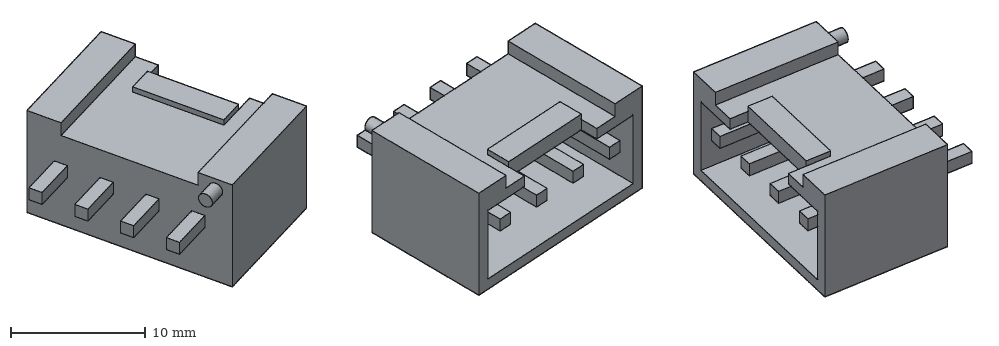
import cadquery as cq

width = 17.72
depth = 10.97
height = 9.7
wall = 1.0
base_thickness = 2.0

recess_width = 11.82
recess_depth = 1.2
deck_height = height - recess_depth

notch_width = 7.87
notch_depth = 1.6
latch_depth = 2.18
latch_height = 0.5

pin_count = 4
pin_pitch = 3.95
pin_size = 1.13
pin_height = 5.28
pin_tail = 3.74
pin_tip_inset = 0.05

peg_radius = 0.6
peg_length = 1.5
peg_x = 7.42
peg_height = 8.68


def block(size_x, size_y, size_z, y_start, z_start, x_center=0):
    """Box centred on x_center, growing toward +Y and +Z from its start values."""
    return (
        cq.Workplane("XY")
        .box(size_x, size_y, size_z, centered=(True, False, False))
        .translate((x_center, y_start, z_start))
    )


def make_housing():
    body = block(width, depth, height, 0, 0)
    recess = block(recess_width, depth, recess_depth, 0, deck_height)
    cavity = block(
        width - 2 * wall,
        depth - base_thickness,
        deck_height - 2 * wall,
        base_thickness,
        wall,
    )
    notch = block(notch_width, notch_depth, wall, depth - notch_depth, deck_height - wall)
    return body.cut(recess).cut(cavity).cut(notch)


def make_latch():
    latch_start = depth - notch_depth - latch_depth
    return block(notch_width, latch_depth, latch_height, latch_start, deck_height)


def make_pin(x_center):
    length = pin_tail + depth - pin_tip_inset
    return block(pin_size, length, pin_size, -pin_tail, pin_height - pin_size / 2, x_center)


def make_peg():
    return cq.Workplane("XZ").center(peg_x, peg_height).circle(peg_radius).extrude(peg_length)


result = make_housing().union(make_latch()).union(make_peg())
for index in range(pin_count):
    pin_x = (index - (pin_count - 1) / 2) * pin_pitch
    result = result.union(make_pin(pin_x))